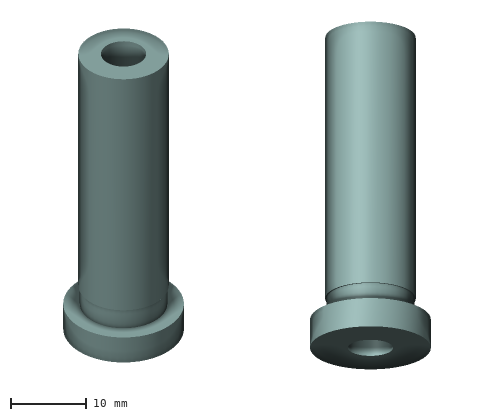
import cadquery as cq

total_height = 44.0
flange_height = 4.0
neck_height = 3.0

flange_diameter = 16.0
neck_diameter = 11.6
sleeve_diameter = 12.0
bore_diameter = 6.0

sleeve_height = total_height - flange_height - neck_height

flange = cq.Workplane("XY").circle(flange_diameter / 2).extrude(flange_height)
neck = flange.faces(">Z").workplane().circle(neck_diameter / 2).extrude(neck_height)
sleeve = neck.faces(">Z").workplane().circle(sleeve_diameter / 2).extrude(sleeve_height)

bore = cq.Workplane("XY").circle(bore_diameter / 2).extrude(total_height)

result = sleeve.cut(bore)